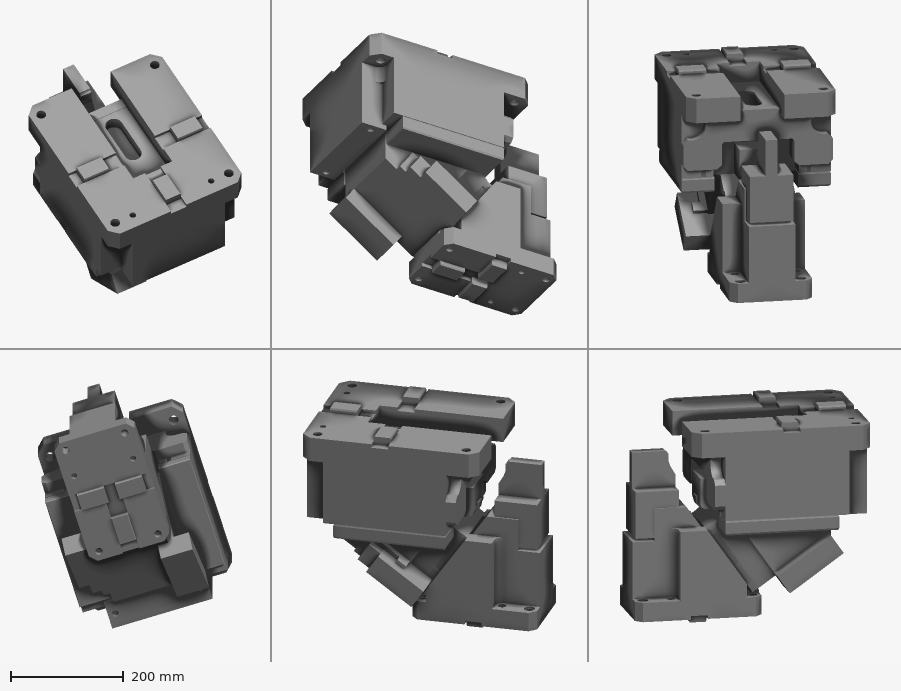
import cadquery as cq
import math

WORK_ANGLE = 55.0
SLOPE_DOWN = (math.cos(math.radians(WORK_ANGLE)), -math.sin(math.radians(WORK_ANGLE)))
SLOPE_OUT = (-SLOPE_DOWN[1], SLOPE_DOWN[0])
SLOPE_TOP = (130.0, 170.0)

KEY_LENGTH = 50.0
KEY_WIDTH = 31.0
KEY_SLOT_DEPTH = 6.5
KEY_CHAMFER_ACROSS = 1.2
KEY_CHAMFER_DEEP = 3.0
KEY_STAND = 8.7

BASE_LENGTH = 230.0
BASE_HALF_WIDTH = 74.5
BASE_BOTTOM = KEY_STAND
BASE_TOP = 44.0
BASE_CORNER = 12.5
RIDGE_HALF_WIDTH = 42.5
LEDGE_TOP = 147.7
RIDGE_FRONT = 40.3
RIDGE_TOP = 207.0
RIDGE_TOP_END = 98.5
SHOULDER_START = 80.0
SHOULDER_BLEND = 14.5
NOTCH_START = 201.0
BLOCK_FRONT = 6.2
BLOCK_BACK = 85.0
BLOCK_BOTTOM = 153.0
BLOCK_SHOULDER = 238.0
BLOCK_TOP = 303.8
BLOCK_HALF_WIDTH = 39.5
BLADE_HALF_WIDTH = 10.8
BLADE_STEP = 72.2
BLADE_STEP_FOOT = 286.5
BLADE_BEND = (75.5, 276.0)
BLADE_FOOT = 259.8
BLADE_ROUND = 5.0
BASE_HOLE_INSET = 16.0
BASE_HOLE_Y = 54.8
BASE_HOLE_RADIUS = 6.5
BASE_SEAT_RADIUS = 10.0
BASE_SEAT_DEPTH = 3.5
DOWEL_HOLE_X = 66.5
DOWEL_HOLE_RADIUS = 5.5
DOWEL_SEAT_RADIUS = 7.5
BASE_KEY_X = BASE_LENGTH / 2
BASE_KEY_Y = 35.3
BASE_END_KEY_X = 185.0
STOP_START = 215.0

ADAPTER_START = 90.5
ADAPTER_END = 415.0
ADAPTER_WIDTH = 270.0
ADAPTER_HALF_WIDTH = ADAPTER_WIDTH / 2
UNIT_HEIGHT = 372.0
FLANGE_TOP = UNIT_HEIGHT - KEY_STAND
FLANGE_BOTTOM = 318.5
FLANGE_CORNER = 15.8
JAW_FRONT = 130.0
BODY_FRONT = 149.0
BODY_BACK = 374.0
BODY_BOTTOM = 201.3
JAW_BOTTOM = 220.5
JAW_CHAMFER = 8.0
JAW_TOP_HALF_WIDTH = 95.5
JAW_RELIEF_START = 300.5
JAW_RELIEF_RADIUS = 24.5
JAW_RELIEF_FLAT_END = 126.0
JAW_RELIEF_FOOT = 267.0
CHANNEL_TOP = 270.0
CHANNEL_HALF_WIDTH = 65.0
CHANNEL_EDGE = 3.5
CHANNEL_FOOT_HALF_WIDTH = 74.3
CHANNEL_UNDERCUT = 3.5
GROOVE_INNER = 91.7
GROOVE_OUTER = 99.5
GROOVE_DEPTH = 3.5
WEB_START = 365.0
WEB_BOTTOM = 191.5
WEB_HALF_WIDTH = 93.0
WEB_FILLET = 15.8
WEB_FILLET_BOTTOM = 286.0
GIB_BACK = 355.5
GIB_BOTTOM = 174.5
GIB_INNER = 75.5
GIB_CHAMFER_ACROSS = 1.2
GIB_CHAMFER_DEEP = 3.5
POCKET_END = 318.5
POCKET_HALF_WIDTH = BLOCK_HALF_WIDTH
POCKET_FLOOR = 326.0
BRIDGE_TOP = 327.0
WINDOW_START = 159.8
WINDOW_END = 260.0
WINDOW_WIDTH = 31.0
WINDOW_DEPTH = 25.0
ADAPTER_HOLE_XS = (115.8, 389.5)
ADAPTER_HOLE_Y = 115.0
ADAPTER_HOLE_RADIUS = 8.7
SMALL_HOLE_Y = 79.3
SMALL_HOLE_RADIUS = 6.0
ADAPTER_KEY_X = 269.8
ADAPTER_KEY_Y = 94.5
ADAPTER_END_KEY_X = 369.5

SLIDE_BACK = 354.5
SLIDE_TOP = 266.0
SLIDE_LENGTH = 147.7
PAD_THICKNESS = 12.0
PAD_HALF_WIDTH = 59.0
PAD_RELIEF_FROM = 17.0
PAD_RELIEF_TO = 87.0
PAD_RELIEF_DEPTH = 1.2
NOSE_HALF_WIDTH = 60.0
WEDGE_HALF_WIDTH = 71.5
WEDGE_OFFSET = 51.0
PLATE_FRONT = 125.5
PLATE_TOP = 255.5
PLATE_BOTTOM = 199.5
PLATE_HALF_WIDTH = 35.0
PLATE_ROUND = 10.0
LIP_THICKNESS = 3.5
LIP_TOP = 218.3
RECESS_HALF_WIDTH = 37.5
RECESS_DEPTH = 4.0

PLAIN_BLOCK_START = 138.5
PLAIN_BLOCK_END = 177.5
PLAIN_BLOCK_REACH = 170.5
PLAIN_BLOCK_SIDE = 100.5
PLAIN_BLOCK_INNER = 41.5
STEPPED_BLOCK_START = 108.7
STEPPED_BLOCK_NEAR = 2.0
MAIN_STEP_REACH = 103.8
MAIN_STEP_SIDE = 118.3
MIDDLE_STEP_DROP = 1.5
MIDDLE_STEP_REACH = 129.0
MIDDLE_STEP_SIDE = 99.5
TAB_HEIGHT = 8.0
TAB_START = 53.5
TAB_REACH = 143.0
TAB_SIDE = 83.0
TAB_FOOT_REACH = 73.0
TAB_FOOT_SIDE = 97.0


def box(x0, x1, y0, y1, z0, z1):
    return cq.Workplane("XY").box(x1 - x0, y1 - y0, z1 - z0, centered=False).translate((x0, y0, z0))


def prism_y(points, y0, y1):
    """Extrude a closed X, Z outline from y0 to y1."""
    return cq.Workplane("XZ", origin=(0, y0, 0)).polyline(points).close().extrude(y0 - y1)


def post(x, y, z0, z1, radius):
    return cq.Workplane("XY", origin=(x, y, z0)).circle(radius).extrude(z1 - z0)


def on_slope(down, out):
    """X, Z of a place given along the sliding face and square to it."""
    return tuple(SLOPE_TOP[i] + down * SLOPE_DOWN[i] + out * SLOPE_OUT[i] for i in range(2))


def slope_block(down0, down1, out0, out1, y0, y1):
    """A block whose sides run along the sliding face and square to it."""
    corners = [(down0, out0), (down1, out0), (down1, out1), (down0, out1)]
    return prism_y([on_slope(*corner) for corner in corners], y0, y1)


def slope_x(x, z, to_z):
    """X where a line of the work angle through x, z reaches the height to_z."""
    return x + (z - to_z) / math.tan(math.radians(WORK_ANGLE))


def key(x, y, z, turned, outward):
    """A chamfered key lying on its slot floor at z; outward is +1 for up and -1 for down."""
    half = KEY_WIDTH / 2
    height = KEY_SLOT_DEPTH + KEY_STAND
    shoulder = height - KEY_CHAMFER_DEEP
    crown = half - KEY_CHAMFER_ACROSS
    outline = [(-half, 0), (half, 0), (half, shoulder), (crown, height), (-crown, height), (-half, shoulder)]
    solid = prism_y([(a, outward * b) for a, b in outline], -KEY_LENGTH / 2, KEY_LENGTH / 2)
    if turned:
        solid = solid.rotate((0, 0, 0), (0, 0, 1), 90)
    return solid.translate((x, y, z))


def driver_shoulder():
    """Wide part with the outer sliding faces, blended into the ridge by concave corners."""
    foot = slope_x(*SLOPE_TOP, BASE_TOP)
    outline = [
        (SHOULDER_START - SHOULDER_BLEND, BASE_TOP), (foot, BASE_TOP),
        SLOPE_TOP, (SHOULDER_START - SHOULDER_BLEND, SLOPE_TOP[1]),
    ]
    shoulder = prism_y(outline, -BASE_HALF_WIDTH, BASE_HALF_WIDTH)
    for side in (-1, 1):
        axis_y = RIDGE_HALF_WIDTH + SHOULDER_BLEND
        blend = post(SHOULDER_START - SHOULDER_BLEND, side * axis_y, BASE_TOP, SLOPE_TOP[1], SHOULDER_BLEND)
        y0, y1 = sorted((side * axis_y, side * BASE_HALF_WIDTH))
        strip = box(0, SHOULDER_START, y0, y1, BASE_TOP, SLOPE_TOP[1])
        y0, y1 = sorted((side * RIDGE_HALF_WIDTH, side * BASE_HALF_WIDTH))
        notch = box(NOTCH_START, BASE_LENGTH, y0, y1, BASE_TOP, SLOPE_TOP[1])
        shoulder = shoulder.cut(blend).cut(strip).cut(notch)
    ridge_face = (RIDGE_TOP_END, RIDGE_TOP)
    recess = [
        (slope_x(*ridge_face, SLOPE_TOP[1]), SLOPE_TOP[1]), (slope_x(*ridge_face, BASE_TOP), BASE_TOP),
        (BASE_LENGTH, BASE_TOP), (BASE_LENGTH, SLOPE_TOP[1]),
    ]
    return shoulder.cut(prism_y(recess, -RIDGE_HALF_WIDTH, RIDGE_HALF_WIDTH))


def driver_ridge():
    outline = [
        (0, BASE_TOP), (slope_x(RIDGE_TOP_END, RIDGE_TOP, BASE_TOP), BASE_TOP),
        (RIDGE_TOP_END, RIDGE_TOP), (RIDGE_FRONT, RIDGE_TOP), (RIDGE_FRONT, LEDGE_TOP), (0, LEDGE_TOP),
    ]
    return prism_y(outline, -RIDGE_HALF_WIDTH, RIDGE_HALF_WIDTH)


def driver_block():
    """Return block with a thin cam blade, standing clear of the ledge."""
    block = box(BLOCK_FRONT, BLOCK_BACK, -BLOCK_HALF_WIDTH, BLOCK_HALF_WIDTH, BLOCK_BOTTOM, BLOCK_SHOULDER)
    blade = (
        cq.Workplane("XZ", origin=(0, BLADE_HALF_WIDTH, 0))
        .moveTo(BLOCK_FRONT, BLOCK_SHOULDER)
        .lineTo(BLOCK_FRONT, BLOCK_TOP)
        .lineTo(BLADE_STEP - BLADE_ROUND, BLOCK_TOP)
        .radiusArc((BLADE_STEP, BLOCK_TOP - BLADE_ROUND), -BLADE_ROUND)
        .lineTo(BLADE_STEP, BLADE_STEP_FOOT)
        .lineTo(*BLADE_BEND)
        .lineTo(BLOCK_BACK, BLADE_FOOT)
        .lineTo(BLOCK_BACK, BLOCK_SHOULDER)
        .close()
        .extrude(2 * BLADE_HALF_WIDTH)
    )
    return block.union(blade)


def driver_stop():
    """Low stop across the back of the base, below the end of the slide."""
    top = on_slope(SLIDE_LENGTH, PAD_THICKNESS)
    outline = [
        (STOP_START, BASE_TOP), (STOP_START, on_slope(SLIDE_LENGTH, 0)[1]), top,
        (BASE_LENGTH, top[1] - (BASE_LENGTH - top[0]) * math.tan(math.radians(WORK_ANGLE))),
        (BASE_LENGTH, BASE_TOP),
    ]
    return prism_y(outline, -RIDGE_HALF_WIDTH, RIDGE_HALF_WIDTH)


def stepped_hole(x, y, radius, seat_radius):
    """Cutter for a through hole in the base with a shallow wider seat."""
    hole = post(x, y, BASE_BOTTOM, BASE_TOP, radius)
    return hole.union(post(x, y, BASE_TOP - BASE_SEAT_DEPTH, BASE_TOP, seat_radius))


def make_driver():
    body = box(0, BASE_LENGTH, -BASE_HALF_WIDTH, BASE_HALF_WIDTH, BASE_BOTTOM, BASE_TOP)
    body = body.edges("|Z").chamfer(BASE_CORNER)
    body = body.union(driver_ridge()).union(driver_shoulder()).union(driver_block()).union(driver_stop())
    for side in (-1, 1):
        y = side * BASE_HOLE_Y
        for x in (BASE_HOLE_INSET, BASE_LENGTH - BASE_HOLE_INSET):
            body = body.cut(stepped_hole(x, y, BASE_HOLE_RADIUS, BASE_SEAT_RADIUS))
        body = body.cut(stepped_hole(DOWEL_HOLE_X, y, DOWEL_HOLE_RADIUS, DOWEL_SEAT_RADIUS))
    floor = BASE_BOTTOM + KEY_SLOT_DEPTH
    half = KEY_WIDTH / 2
    body = body.cut(
        box(BASE_KEY_X - half, BASE_KEY_X + half, -BASE_HALF_WIDTH, BASE_HALF_WIDTH, BASE_BOTTOM, floor)
    )
    body = body.cut(box(BASE_KEY_X, BASE_LENGTH, -half, half, BASE_BOTTOM, floor))
    for side in (-1, 1):
        body = body.union(key(BASE_KEY_X, side * BASE_KEY_Y, floor, False, -1))
    return body.union(key(BASE_END_KEY_X, 0, floor, True, -1))


def adapter_jaws():
    """Front part of the body with relieved upper corners and chamfered lower corners."""
    w = ADAPTER_HALF_WIDTH
    arc_y = JAW_TOP_HALF_WIDTH + JAW_RELIEF_RADIUS
    diagonal = JAW_RELIEF_RADIUS * math.sqrt(0.5)
    arc_end = JAW_RELIEF_START - JAW_RELIEF_RADIUS
    half = (
        cq.Workplane("YZ", origin=(JAW_FRONT, 0, 0))
        .moveTo(0, BRIDGE_TOP)
        .lineTo(JAW_TOP_HALF_WIDTH, BRIDGE_TOP)
        .lineTo(JAW_TOP_HALF_WIDTH, JAW_RELIEF_START)
        .threePointArc((arc_y - diagonal, JAW_RELIEF_START - diagonal), (arc_y, arc_end))
        .lineTo(JAW_RELIEF_FLAT_END, arc_end)
        .lineTo(w, JAW_RELIEF_FOOT)
        .lineTo(w, JAW_BOTTOM + JAW_CHAMFER)
        .lineTo(w - JAW_CHAMFER, JAW_BOTTOM)
        .lineTo(0, JAW_BOTTOM)
        .close()
        .extrude(BODY_FRONT - JAW_FRONT)
    )
    return half.union(half.mirror("XZ"))


def adapter_channel():
    """Guide channel that the slide runs in, from the front up to the end web."""
    c = CHANNEL_HALF_WIDTH
    f = CHANNEL_FOOT_HALF_WIDTH
    right_side = [
        (c - CHANNEL_EDGE, CHANNEL_TOP), (c, CHANNEL_TOP - CHANNEL_EDGE), (c, JAW_BOTTOM + JAW_CHAMFER),
        (f, JAW_BOTTOM), (f + CHANNEL_UNDERCUT, JAW_BOTTOM), (f + CHANNEL_UNDERCUT, BODY_BOTTOM),
    ]
    left_side = [(-y, z) for y, z in reversed(right_side)]
    channel = cq.Workplane("YZ", origin=(JAW_FRONT, 0, 0)).polyline(right_side + left_side).close()
    return channel.extrude(WEB_START - JAW_FRONT)


def adapter_web():
    """End web behind the body, filleted into it below the flange."""
    web = box(WEB_START, ADAPTER_END, -WEB_HALF_WIDTH, WEB_HALF_WIDTH, WEB_BOTTOM, FLANGE_BOTTOM)
    for side in (-1, 1):
        y0, y1 = sorted((side * WEB_HALF_WIDTH, side * (WEB_HALF_WIDTH + WEB_FILLET)))
        corner = box(BODY_BACK, BODY_BACK + WEB_FILLET, y0, y1, WEB_FILLET_BOTTOM, FLANGE_BOTTOM)
        hollow = post(
            BODY_BACK + WEB_FILLET, side * (WEB_HALF_WIDTH + WEB_FILLET),
            WEB_FILLET_BOTTOM, FLANGE_BOTTOM, WEB_FILLET,
        )
        web = web.union(corner.cut(hollow))
    return web


def adapter_gib(side):
    """Retaining plate below the body, on the side given as -1 or +1."""
    a = GIB_CHAMFER_ACROSS
    low = GIB_BOTTOM + GIB_CHAMFER_DEEP
    high = BODY_BOTTOM - GIB_CHAMFER_DEEP
    lengthwise = prism_y(
        [
            (BODY_FRONT + a, GIB_BOTTOM), (GIB_BACK - a, GIB_BOTTOM), (GIB_BACK, low), (GIB_BACK, high),
            (GIB_BACK - a, BODY_BOTTOM), (BODY_FRONT + a, BODY_BOTTOM), (BODY_FRONT, high), (BODY_FRONT, low),
        ],
        GIB_INNER, ADAPTER_HALF_WIDTH,
    )
    outer = ADAPTER_HALF_WIDTH
    crosswise = (
        cq.Workplane("YZ", origin=(BODY_FRONT, 0, 0))
        .polyline([
            (GIB_INNER, GIB_BOTTOM), (outer - a, GIB_BOTTOM), (outer, low), (outer, high),
            (outer - a, BODY_BOTTOM), (GIB_INNER, BODY_BOTTOM),
        ])
        .close()
        .extrude(GIB_BACK - BODY_FRONT)
    )
    gib = lengthwise.intersect(crosswise)
    return gib if side > 0 else gib.mirror("XZ")


def make_adapter():
    w = ADAPTER_HALF_WIDTH
    flange = box(ADAPTER_START, ADAPTER_END, -w, w, FLANGE_BOTTOM, FLANGE_TOP)
    flange = flange.edges("|Z").chamfer(FLANGE_CORNER)
    core = box(BODY_FRONT, BODY_BACK, -w, w, BODY_BOTTOM, FLANGE_BOTTOM)
    pocket = box(BODY_FRONT, POCKET_END, -POCKET_HALF_WIDTH, POCKET_HALF_WIDTH, POCKET_FLOOR, FLANGE_TOP)
    bridge_gap = box(JAW_FRONT, BODY_FRONT, -POCKET_HALF_WIDTH, POCKET_HALF_WIDTH, BRIDGE_TOP, FLANGE_TOP)
    open_front = box(
        ADAPTER_START, JAW_FRONT, -POCKET_HALF_WIDTH, POCKET_HALF_WIDTH, FLANGE_BOTTOM, FLANGE_TOP
    )
    body = flange.union(core).union(adapter_jaws()).union(adapter_web()).cut(adapter_channel())
    body = body.cut(pocket).cut(bridge_gap).cut(open_front)
    for side in (-1, 1):
        body = body.union(adapter_gib(side))

    for side in (-1, 1):
        y0, y1 = sorted((side * GROOVE_INNER, side * GROOVE_OUTER))
        body = body.cut(box(BODY_FRONT, BODY_FRONT + GROOVE_DEPTH, y0, y1, BODY_BOTTOM, JAW_BOTTOM))

    window = (
        cq.Workplane("XY", origin=((WINDOW_START + WINDOW_END) / 2, 0, POCKET_FLOOR))
        .slot2D(WINDOW_END - WINDOW_START, WINDOW_WIDTH)
        .extrude(-WINDOW_DEPTH)
    )
    body = body.cut(window)

    for side in (-1, 1):
        for x in ADAPTER_HOLE_XS:
            body = body.cut(post(x, side * ADAPTER_HOLE_Y, FLANGE_BOTTOM, FLANGE_TOP, ADAPTER_HOLE_RADIUS))
        body = body.cut(
            post(ADAPTER_HOLE_XS[1], side * SMALL_HOLE_Y, WEB_BOTTOM, FLANGE_TOP, SMALL_HOLE_RADIUS)
        )

    floor = FLANGE_TOP - KEY_SLOT_DEPTH
    half = KEY_WIDTH / 2
    body = body.cut(box(ADAPTER_KEY_X - half, ADAPTER_KEY_X + half, -w, w, floor, FLANGE_TOP))
    body = body.cut(box(POCKET_END, ADAPTER_END, -half, half, floor, FLANGE_TOP))
    for side in (-1, 1):
        body = body.union(key(ADAPTER_KEY_X, side * ADAPTER_KEY_Y, floor, False, 1))
    return body.union(key(ADAPTER_END_KEY_X, 0, floor, True, 1))


SLIDE_FRONT, HEAD_BOTTOM = on_slope(0, WEDGE_OFFSET)


def slide_wedge():
    """Nose on the sliding face, the wide wedge behind it, and the guided head above."""
    end_out = (SLIDE_BACK - on_slope(SLIDE_LENGTH, 0)[0]) / SLOPE_OUT[0]
    back_low = on_slope(SLIDE_LENGTH, end_out)
    nose = prism_y(
        [
            on_slope(0, PAD_THICKNESS), on_slope(SLIDE_LENGTH, PAD_THICKNESS), back_low,
            (SLIDE_BACK, HEAD_BOTTOM), (SLIDE_FRONT, HEAD_BOTTOM),
        ],
        -NOSE_HALF_WIDTH, NOSE_HALF_WIDTH,
    )
    wedge_low = on_slope(SLIDE_LENGTH, WEDGE_OFFSET)
    wedge = prism_y(
        [wedge_low, back_low, (SLIDE_BACK, HEAD_BOTTOM), (SLIDE_FRONT, HEAD_BOTTOM)],
        -WEDGE_HALF_WIDTH, WEDGE_HALF_WIDTH,
    )
    return nose.union(wedge)


def slide_pad():
    pad = slope_block(0, SLIDE_LENGTH, 0, PAD_THICKNESS, -PAD_HALF_WIDTH, PAD_HALF_WIDTH)
    for side in (-1, 1):
        y0, y1 = sorted((side * PAD_HALF_WIDTH, side * (PAD_HALF_WIDTH - PAD_RELIEF_DEPTH)))
        pad = pad.cut(slope_block(PAD_RELIEF_FROM, PAD_RELIEF_TO, 0, PAD_THICKNESS, y0, y1))
    return pad


def slide_head():
    """Head guided by the channel, with a shallow recess in the front."""
    right_side = [
        (CHANNEL_HALF_WIDTH, SLIDE_TOP), (CHANNEL_HALF_WIDTH, JAW_BOTTOM + JAW_CHAMFER),
        (CHANNEL_FOOT_HALF_WIDTH, JAW_BOTTOM), (CHANNEL_FOOT_HALF_WIDTH, HEAD_BOTTOM),
    ]
    left_side = [(-y, z) for y, z in reversed(right_side)]
    head = cq.Workplane("YZ", origin=(SLIDE_FRONT, 0, 0)).polyline(right_side + left_side).close()
    head = head.extrude(SLIDE_BACK - SLIDE_FRONT)
    recess = box(
        SLIDE_FRONT, SLIDE_FRONT + RECESS_DEPTH,
        -RECESS_HALF_WIDTH, RECESS_HALF_WIDTH, PLATE_BOTTOM, SLIDE_TOP,
    )
    return head.cut(recess)


def rounded_plate(front, bottom, top, back, radius, half_width):
    """Upright plate whose lower front edge is rounded."""
    return box(front, back, -half_width, half_width, bottom, top).edges("<X and <Z").fillet(radius)


def slide_plate():
    """Front plate with a narrow lip wrapped round its lower edge, facing the cam blade."""
    back = SLIDE_FRONT + RECESS_DEPTH
    plate = rounded_plate(PLATE_FRONT, PLATE_BOTTOM, PLATE_TOP, back, PLATE_ROUND, PLATE_HALF_WIDTH)
    lip = rounded_plate(
        PLATE_FRONT - LIP_THICKNESS, PLATE_BOTTOM - LIP_THICKNESS, LIP_TOP,
        SLIDE_FRONT, PLATE_ROUND + LIP_THICKNESS, BLADE_HALF_WIDTH,
    )
    return plate.union(lip)


def plain_side_block():
    """Block on the -Y side of the wedge, running past the lower end of the slide."""
    return slope_block(
        PLAIN_BLOCK_START, PLAIN_BLOCK_END, WEDGE_OFFSET, PLAIN_BLOCK_REACH,
        -PLAIN_BLOCK_SIDE, -PLAIN_BLOCK_INNER,
    )


def stepped_side_block():
    """Block on the +Y side, longer in steps towards the slide, with an L-shaped tab on its upper face."""
    inner = NOSE_HALF_WIDTH
    near = STEPPED_BLOCK_NEAR
    top = STEPPED_BLOCK_START
    tab_top = top - TAB_HEIGHT
    block = slope_block(top, SLIDE_LENGTH, near, MAIN_STEP_REACH, inner, MAIN_STEP_SIDE)
    block = block.union(
        slope_block(top + MIDDLE_STEP_DROP, SLIDE_LENGTH, near, MIDDLE_STEP_REACH, inner, MIDDLE_STEP_SIDE)
    )
    block = block.union(slope_block(tab_top, SLIDE_LENGTH, TAB_START, TAB_REACH, inner, TAB_SIDE))
    return block.union(slope_block(tab_top, top, TAB_START, TAB_FOOT_REACH, inner, TAB_FOOT_SIDE))


def make_slide():
    body = slide_wedge().union(slide_pad()).union(slide_head()).union(slide_plate())
    return body.union(plain_side_block()).union(stepped_side_block())


driver = make_driver()
adapter = make_adapter()
slide = make_slide()
result = cq.Compound.makeCompound([driver.solids().val(), adapter.solids().val(), slide.solids().val()])